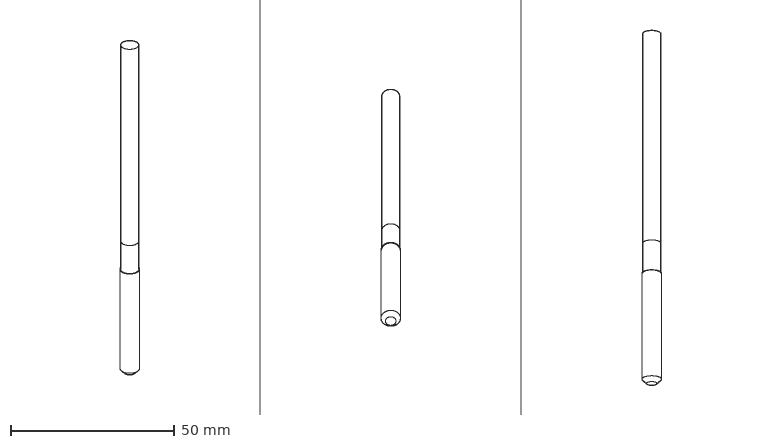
import cadquery as cq

total_length = 116.0

shank_diameter = 6.0
shank_top = 36.2
end_diameter = 3.2
end_chamfer_height = 1.4

cutting_diameter = 5.6
cutting_start = 46.0
point_height = 1.2

shank_radius = shank_diameter / 2
end_radius = end_diameter / 2
cutting_radius = cutting_diameter / 2


def revolve_profile(points):
    """Revolve a closed (radius, height) outline around the Z axis."""
    outline = cq.Workplane("XZ").polyline(points).close()
    return outline.revolve(360, (0, 0, 0), (0, 1, 0))


def make_holder():
    """Shank with a tapered lower end, stepping down to the plain neck."""
    return revolve_profile([
        (0, 0),
        (end_radius, 0),
        (shank_radius, end_chamfer_height),
        (shank_radius, shank_top),
        (cutting_radius, shank_top),
        (cutting_radius, cutting_start),
        (0, cutting_start),
    ])


def make_cutting_section():
    """Cylinder resting on the neck, ending in a conical point."""
    return revolve_profile([
        (0, cutting_start),
        (cutting_radius, cutting_start),
        (cutting_radius, total_length - point_height),
        (0, total_length),
    ])


holder = make_holder()
cutting_section = make_cutting_section()

result = cq.Compound.makeCompound([holder.val(), cutting_section.val()])